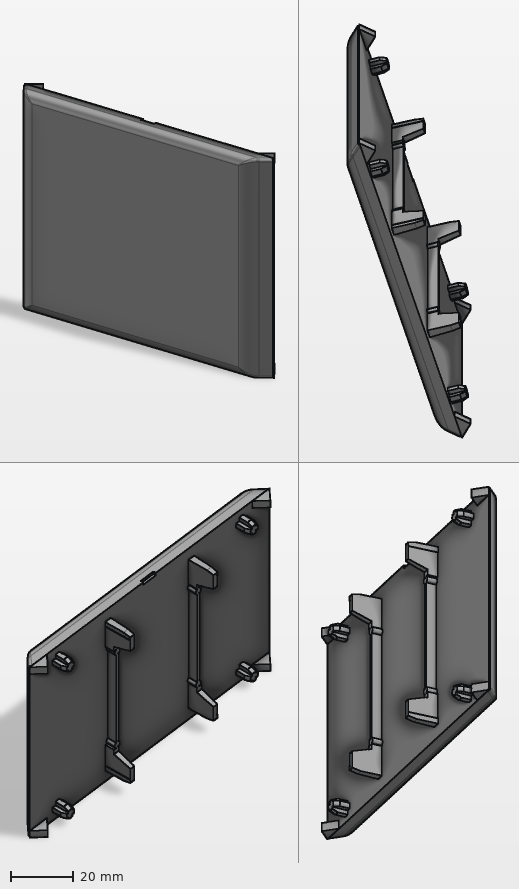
import cadquery as cq
import math

length = 115.0
height = 73.6
thickness = 6.5
end_land = 0.6
bevel = 3.2
end_round_angle = 45.0
long_edge_radius = 3.1
end_corner_radius = 1.0

notch_width = 6.0
notch_depth = 1.0

gusset_rise = 4.1
gusset_thickness = 3.0
gusset_setback = 0.06

post_x = 44.0
post_z_top = 31.3
post_z_bottom = -32.1
post_radius = 2.6
post_tip_radius = 1.8
post_height = 5.5
post_straight = 3.6
post_arm_width = 2.0

clip_height = 10.5
clip_outer_x = 21.2
clip_inner_x = 18.6
clip_draft = 0.3
clip_end_z = 32.0
clip_shoulder_y = 7.6
clip_end_taper = 0.6
clip_tip_z = 25.4
clip_root_z = 23.1
clip_heel_z = 21.2
lip_z = 30.0
lip_rise = 0.17

rail_height = 3.6
rail_thickness = 1.2
pin_radius = 1.3
pin_x = 19.4
pin_z = 20.0

half_length = length / 2
half_height = height / 2
gusset_outer_z = half_height - gusset_setback


def is_corner_edge(edge):
    """True for the edges where an end meets the top or bottom.

    The long straight edges are left out because their midpoints lie near the center lines.
    """
    middle = edge.Center()
    return abs(middle.x) > half_length / 2 and abs(middle.z) > half_height / 2


def make_plate():
    """Intersect the end profile with the long-edge profile, then round the corners."""
    bevel_x = half_length - bevel
    bevel_y = -(end_land + bevel)
    angle = math.radians(end_round_angle)
    radius = (thickness + bevel_y) / (1 - math.cos(angle))
    center_x = bevel_x - radius * math.sin(angle)
    center_y = radius - thickness
    mid_x = center_x + radius * math.sin(angle / 2)
    mid_y = center_y - radius * math.cos(angle / 2)
    end_profile = (
        cq.Workplane("XY", origin=(0, 0, -half_height))
        .moveTo(-half_length, 0)
        .lineTo(half_length, 0)
        .lineTo(half_length, -end_land)
        .lineTo(bevel_x, bevel_y)
        .threePointArc((mid_x, mid_y), (center_x, -thickness))
        .lineTo(-center_x, -thickness)
        .threePointArc((-mid_x, mid_y), (-bevel_x, bevel_y))
        .lineTo(-half_length, -end_land)
        .close()
        .extrude(height)
    )
    edge_profile = (
        cq.Workplane("XY")
        .box(length, thickness, height)
        .translate((0, -thickness / 2, 0))
        .edges("|X and <Y")
        .fillet(long_edge_radius)
    )
    plate = end_profile.intersect(edge_profile)
    return plate.edges().filter(is_corner_edge).fillet(end_corner_radius)


def make_notch():
    """Rectangular cut in the back edge of the top face."""
    return (
        cq.Workplane("XY")
        .box(notch_width, 2 * notch_depth, 2 * notch_depth)
        .translate((0, 0, half_height))
    )


def make_gusset(side, bottom_z):
    """Right-angled triangle standing on the back face at one end."""
    outer_x = side * half_length
    return (
        cq.Workplane("XY", origin=(0, 0, bottom_z))
        .polyline([
            (outer_x, 0),
            (outer_x - side * gusset_rise, gusset_rise),
            (outer_x - side * 2 * gusset_rise, 0),
        ])
        .close()
        .extrude(gusset_thickness)
    )


def make_post(x, z):
    """Cross-shaped post, cut from a round peg with a conical tip."""
    peg = (
        cq.Workplane("XY")
        .polyline([
            (0, 0),
            (post_radius, 0),
            (post_radius, post_straight),
            (post_tip_radius, post_height),
            (0, post_height),
        ])
        .close()
        .revolve(360, (0, 0, 0), (0, 1, 0))
    )
    arm_length = 2 * post_radius
    arm_x = cq.Workplane("XY").box(arm_length, 2 * post_height, post_arm_width)
    arm_z = cq.Workplane("XY").box(post_arm_width, 2 * post_height, arm_length)
    return peg.intersect(arm_x.union(arm_z)).translate((x, 0, z))


def drafted_wall(outer_x, bottom_z, top_z):
    """Wall along Z whose two sides lean together toward its tip."""
    return (
        cq.Workplane("XY", origin=(0, 0, bottom_z))
        .polyline([
            (clip_inner_x, 0),
            (outer_x, 0),
            (outer_x - clip_draft, clip_height),
            (clip_inner_x + clip_draft, clip_height),
        ])
        .close()
        .extrude(top_z - bottom_z)
    )


def make_clip():
    """Clip at +X, +Z."""
    side_profile = (
        cq.Workplane("YZ")
        .polyline([
            (0, clip_heel_z),
            (rail_height, clip_heel_z),
            (rail_height, clip_root_z),
            (clip_height, clip_tip_z),
            (clip_height, clip_end_z - clip_end_taper),
            (clip_shoulder_y, clip_end_z),
            (0, clip_end_z),
        ])
        .close()
        .extrude(half_length)
    )
    wall = drafted_wall(clip_outer_x, clip_heel_z, clip_end_z)
    lip = drafted_wall(clip_outer_x + lip_rise, lip_z, clip_end_z)
    return wall.union(lip).intersect(side_profile)


def make_clip_pair():
    """Rail with its two pins and two clips, on the +X side."""
    rail = (
        cq.Workplane("XY")
        .box(rail_thickness, rail_height, 2 * pin_z)
        .translate((pin_x, rail_height / 2, 0))
    )
    pins = (
        cq.Workplane("XZ")
        .pushPoints([(pin_x, pin_z), (pin_x, -pin_z)])
        .circle(pin_radius)
        .extrude(-rail_height)
    )
    clip = make_clip()
    return rail.union(pins).union(clip).union(clip.mirror("XY"))


result = make_plate().cut(make_notch())

clip_pair = make_clip_pair()
result = result.union(clip_pair).union(clip_pair.mirror("YZ"))

for side in (-1, 1):
    for gusset_z in (-gusset_outer_z, gusset_outer_z - gusset_thickness):
        result = result.union(make_gusset(side, gusset_z))
    for post_z in (post_z_top, post_z_bottom):
        result = result.union(make_post(side * post_x, post_z))